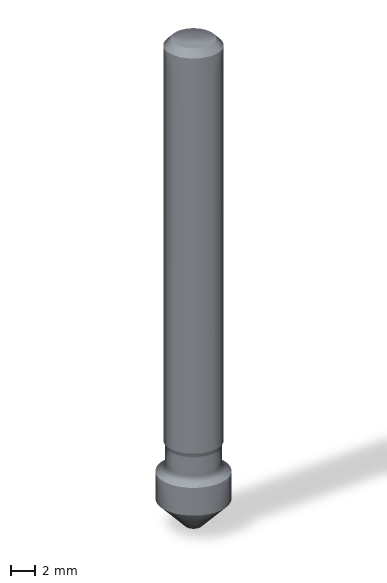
import cadquery as cq
import math

total_length = 45.0
head_radius = 3.15
tip_radius = 0.7
shank_diameter = 5.0
shank_radius = shank_diameter / 2
neck_radius = 2.35
end_chamfer = 0.65
head_top = 5.0
shank_bottom = 7.85
shoulder_fillet = 0.5
step_fillet = 0.3
shoulder_angle = math.radians(30)
step_angle = math.radians(67)

head_bottom = head_radius - tip_radius


def blend_point(fillet_radius, slope, fraction):
    """Outward and axial offsets from the neck tangent point along a blend arc."""
    turn = (math.pi / 2 - slope) * fraction
    outward = fillet_radius * (1 - math.cos(turn))
    axial = fillet_radius * math.sin(turn)
    return outward, axial


blend_out, blend_rise = blend_point(shoulder_fillet, shoulder_angle, 1.0)
blend_mid_out, blend_mid_rise = blend_point(shoulder_fillet, shoulder_angle, 0.5)
shoulder_inner = neck_radius + blend_out
shoulder_top = head_top + (head_radius - shoulder_inner) * math.tan(shoulder_angle)
neck_bottom = shoulder_top + blend_rise

step_out, step_rise = blend_point(step_fillet, step_angle, 1.0)
step_mid_out, step_mid_rise = blend_point(step_fillet, step_angle, 0.5)
step_inner = neck_radius + step_out
step_bottom = shank_bottom - (shank_radius - step_inner) * math.tan(step_angle)
neck_top = step_bottom - step_rise

profile = (
    cq.Workplane("YZ")
    .lineTo(tip_radius, 0)
    .lineTo(head_radius, head_bottom)
    .lineTo(head_radius, head_top)
    .lineTo(shoulder_inner, shoulder_top)
    .threePointArc(
        (neck_radius + blend_mid_out, neck_bottom - blend_mid_rise),
        (neck_radius, neck_bottom),
    )
    .lineTo(neck_radius, neck_top)
    .threePointArc(
        (neck_radius + step_mid_out, neck_top + step_mid_rise),
        (step_inner, step_bottom),
    )
    .lineTo(shank_radius, shank_bottom)
    .lineTo(shank_radius, total_length - end_chamfer)
    .lineTo(shank_radius - end_chamfer, total_length)
    .lineTo(0, total_length)
    .close()
)

result = profile.revolve(360, (0, 0, 0), (0, 1, 0))